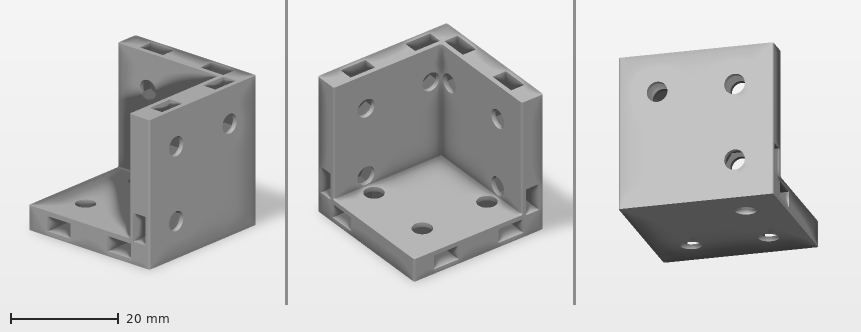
import cadquery as cq
import math

size = 30.0
wall = 5.0
edge_radius = 0.4

hole_diameter = 4.0
near = size / 4
far = size - near
nut_width = 5.75
nut_corner_diameter = 2 * nut_width / math.sqrt(3)
slot_depth = 3.05

hole_layout = [
    (near, near, False),
    (far, near, False),
    (near, far, True),
]

mid = wall / 2
floor_plane = cq.Plane(origin=(0, 0, mid), xDir=(1, 0, 0), normal=(0, 0, 1))
back_plane = cq.Plane(origin=(0, size - mid, size), xDir=(1, 0, 0), normal=(0, 1, 0))
side_plane = cq.Plane(origin=(size - mid, 0, size), xDir=(0, 1, 0), normal=(-1, 0, 0))


def make_body():
    """Three joined plates with rounded vertical edges and a fillet around the floor."""
    inner = size - wall
    block = cq.Workplane("XY").box(size, size, wall, centered=False).edges("|Z").fillet(edge_radius)
    walls = (
        cq.Workplane("XY")
        .polyline([(size, 0), (size, size), (0, size), (0, inner), (inner, inner), (inner, 0)])
        .close()
        .extrude(size)
        .edges("|Z")
        .fillet(edge_radius)
    )
    body = block.union(walls)
    foot_of_back_wall = cq.NearestToPointSelector((inner / 2, inner, wall))
    return body.edges(foot_of_back_wall).fillet(edge_radius)


def nut_slot(plane, u, v, opens_at_u_edge):
    """Slot running from a plate edge to a hexagonal seat with a corner at its closed end."""
    if opens_at_u_edge:
        corner_angle = 0
        channel = cq.Workplane(plane).center(u / 2, v).rect(u, nut_width)
    else:
        corner_angle = 90
        channel = cq.Workplane(plane).center(u, v / 2).rect(nut_width, v)
    seat = (
        cq.Workplane(plane)
        .center(u, v)
        .transformed(rotate=(0, 0, corner_angle))
        .polygon(6, nut_corner_diameter)
    )
    half_depth = slot_depth / 2
    return seat.extrude(half_depth, both=True).union(channel.extrude(half_depth, both=True))


def screw_hole(plane, u, v):
    """Round hole through the full plate thickness."""
    return cq.Workplane(plane).center(u, v).circle(hole_diameter / 2).extrude(mid, both=True)


result = make_body()
for plate in (floor_plane, back_plane, side_plane):
    for u, v, opens_at_u_edge in hole_layout:
        result = result.cut(nut_slot(plate, u, v, opens_at_u_edge))
        result = result.cut(screw_hole(plate, u, v))